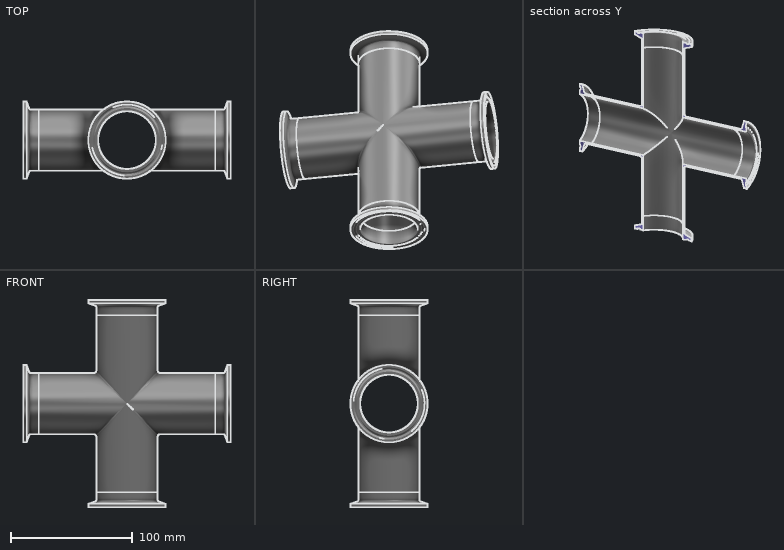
import cadquery as cq
import math

SPAN = 171.4
HALF_SPAN = SPAN / 2
ARM_ANGLES = (0, 90, 180, 270)

TUBE_RADIUS = 50.7 / 2
BORE_RADIUS = 47.5 / 2
CROTCH_FILLET = 2.0

FERRULE_LENGTH = 12.7
FLANGE_RADIUS = 64.0 / 2
RIM_THICKNESS = 2.9
CLAMP_ANGLE = 20.0
NECK_FILLET = 1.0

GROOVE_RADIUS = 28.1
GROOVE_WIDTH = 2.7
GROOVE_DEPTH = 0.9

FACE_EDGE_FILLET = 0.5

CROSS_LENGTH = SPAN - 2 * FERRULE_LENGTH


def crossed_rods(radius):
    """Two equal rods along X and Z that cross at the origin."""
    upright = cq.Workplane("XY").circle(radius).extrude(CROSS_LENGTH / 2, both=True)
    level = cq.Workplane("YZ").circle(radius).extrude(CROSS_LENGTH / 2, both=True)
    return upright.union(level)


def make_cross():
    """Hollow four-way tube with a fillet along each mitred crotch."""
    half_space = cq.Workplane("XY").box(SPAN, SPAN, SPAN).translate((0, -SPAN / 2, 0))
    front_half = crossed_rods(TUBE_RADIUS).intersect(half_space)
    mitre_edges = front_half.edges("%ELLIPSE")
    front_half = front_half.newObject(mitre_edges.vals()).fillet(CROTCH_FILLET)
    outside = front_half.union(front_half.mirror("XZ"), clean=False)
    return outside.cut(crossed_rods(BORE_RADIUS), clean=False)


def make_ferrule():
    """Clamp ferrule at the end of the +Z arm, sealing face up."""
    neck_end = HALF_SPAN - FERRULE_LENGTH
    rim_bottom = HALF_SPAN - RIM_THICKNESS
    cone_drop = (FLANGE_RADIUS - TUBE_RADIUS) * math.tan(math.radians(CLAMP_ANGLE))
    ferrule = (
        cq.Workplane("XZ")
        .moveTo(BORE_RADIUS, neck_end)
        .lineTo(TUBE_RADIUS, neck_end)
        .lineTo(TUBE_RADIUS, rim_bottom - cone_drop)
        .lineTo(FLANGE_RADIUS, rim_bottom)
        .lineTo(FLANGE_RADIUS, HALF_SPAN)
        .lineTo(BORE_RADIUS, HALF_SPAN)
        .close()
        .revolve(360, (0, 0), (0, 1))
    )
    ferrule = ferrule.edges(cq.selectors.RadiusNthSelector(1)).edges(">Z").fillet(NECK_FILLET)
    ferrule = ferrule.cut(make_groove_ring())
    face_circles = sorted(ferrule.faces(">Z").edges().vals(), key=lambda edge: edge.radius())
    return ferrule.newObject(face_circles[:-1]).fillet(FACE_EDGE_FILLET)


def make_groove_ring():
    """Ring of circular-segment section that cuts the gasket groove."""
    return (
        cq.Workplane("XZ")
        .moveTo(GROOVE_RADIUS - GROOVE_WIDTH / 2, HALF_SPAN)
        .threePointArc(
            (GROOVE_RADIUS, HALF_SPAN - GROOVE_DEPTH),
            (GROOVE_RADIUS + GROOVE_WIDTH / 2, HALF_SPAN),
        )
        .close()
        .revolve(360, (0, 0), (0, 1))
    )


cross = make_cross()

ferrules = []
for arm_angle in ARM_ANGLES:
    ferrules.append(make_ferrule().rotate((0, 0, 0), (0, 1, 0), arm_angle))

result = cq.Compound.makeCompound([cross.val(), *[ferrule.val() for ferrule in ferrules]])